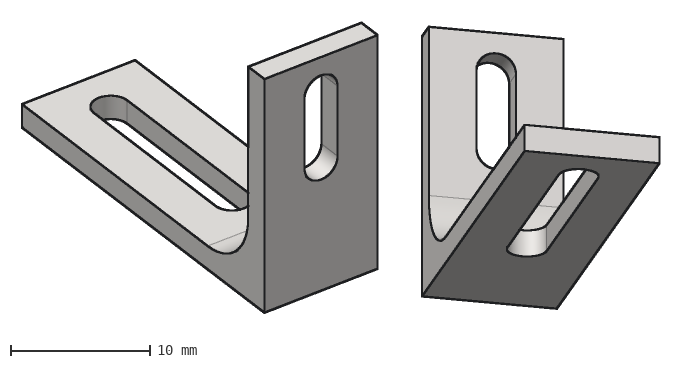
import cadquery as cq

length = 30.0
width = 10.0
height = 20.0
thickness = 2.0
corner_radius = 5.0

slot_width = 2.9
base_slot_travel = 15.0
wall_slot_travel = 6.0
wall_slot_height = 13.98

wall_inner_x = length - thickness
base_flat_length = wall_inner_x - corner_radius
base_slot_x = base_flat_length / 2


def bracket_body():
    """L-shaped bracket with a concave fillet in its inner corner."""
    profile = (
        cq.Workplane("XZ")
        .moveTo(0, 0)
        .lineTo(length, 0)
        .lineTo(length, height)
        .lineTo(wall_inner_x, height)
        .lineTo(wall_inner_x, thickness + corner_radius)
        .radiusArc((base_flat_length, thickness), corner_radius)
        .lineTo(0, thickness)
        .close()
    )
    return profile.extrude(width / 2, both=True)


def slot_cutter(plane, center, travel, angle):
    """Round-ended slot running through one leg, starting on its plane."""
    return (
        cq.Workplane(plane, origin=center)
        .slot2D(travel + slot_width, slot_width, angle)
        .extrude(thickness)
    )


base_slot = slot_cutter("XY", (base_slot_x, 0, 0), base_slot_travel, 0)
wall_slot = slot_cutter("YZ", (wall_inner_x, 0, wall_slot_height), wall_slot_travel, 90)

result = bracket_body().cut(base_slot).cut(wall_slot)